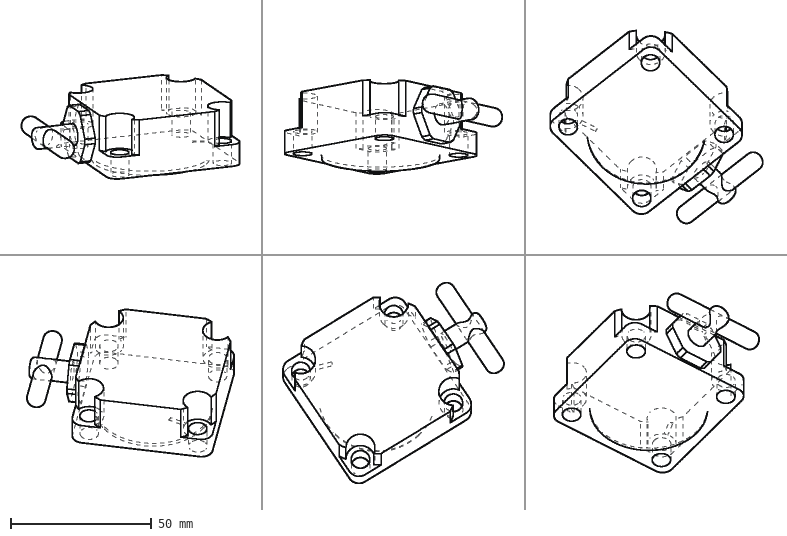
import cadquery as cq

overall_length = 69.85

housing_side = 50.8
housing_height = 21.1
corner_radius = 4.05
ledge_height = 8.1
upper_corner_radius = 29.3
bolt_inset = 5.7
bolt_hole_diameter = 6.6
bolt_clearance_diameter = 10.35

groove_width = 1.5
groove_depth = 0.105
groove_angle = 18.5

boss_height = 1.75
boss_root_diameter = 42.25
boss_draft = 5.0
boss_root_fillet = 0.4
boss_rim_fillet = 0.3

collar_across_flats = 19.2
collar_corner_diameter = 21.1
collar_thickness = 4.0

stem_diameter = 7.75
stem_end_fillet = 1.4

bar_diameter = 6.8
bar_length = 38.2
bar_end_fillet = 2.8
bar_standoff = 14.0

half_side = housing_side / 2
axis_height = housing_height / 2
bolt_offset = half_side - bolt_inset
housing_front = -half_side
collar_front = housing_front - collar_thickness
stem_length = overall_length - housing_side - collar_thickness


def bolt_cylinders(diameter, bottom, top):
    """Four vertical cylinders on the bolt axes."""
    return (
        cq.Workplane("XY", origin=(0, 0, bottom))
        .rect(2 * bolt_offset, 2 * bolt_offset, forConstruction=True)
        .vertices()
        .circle(diameter / 2)
        .extrude(top - bottom)
    )


def make_base():
    """Lower part of the housing, as high as the ledges, with the boss below it."""
    boss = (
        cq.Workplane("XY")
        .circle(boss_root_diameter / 2)
        .extrude(-boss_height, taper=boss_draft)
    )
    return (
        cq.Workplane("XY")
        .rect(housing_side, housing_side)
        .extrude(ledge_height)
        .edges("|Z")
        .fillet(corner_radius)
        .union(boss)
        .edges(cq.selectors.RadiusNthSelector(-1))
        .fillet(boss_root_fillet)
        .faces("<Z")
        .edges()
        .fillet(boss_rim_fillet)
    )


def make_upper_block():
    """Upper part of the housing, cut back around the bolt axes."""
    height = housing_height - ledge_height
    plane = cq.Workplane("XY", origin=(0, 0, ledge_height))
    round_limit = plane.circle(upper_corner_radius).extrude(height)
    return (
        plane.rect(housing_side, housing_side)
        .extrude(height)
        .intersect(round_limit)
        .cut(bolt_cylinders(bolt_clearance_diameter, ledge_height, housing_height))
    )


def make_groove_cutter():
    """Long horizontal cylinder that dips just below the ledge, through one bolt axis."""
    radius = (groove_width**2 / 4 + groove_depth**2) / (2 * groove_depth)
    return (
        cq.Workplane("XZ")
        .center(0, radius - groove_depth)
        .circle(radius)
        .extrude(2 * bolt_inset, both=True)
        .rotate((0, 0, 0), (0, 0, 1), -groove_angle)
        .translate((bolt_offset, bolt_offset, ledge_height))
    )


def make_housing():
    return (
        make_base()
        .cut(make_groove_cutter())
        .union(make_upper_block())
        .cut(bolt_cylinders(bolt_hole_diameter, 0, ledge_height))
    )


def make_collar():
    """Hexagon with flats above and below, cut down to a circle at its corners."""
    plane = cq.Workplane("XZ", origin=(0, housing_front, axis_height))
    round_limit = plane.circle(collar_corner_diameter / 2).extrude(collar_thickness)
    return (
        plane.polygon(6, collar_across_flats, circumscribed=True)
        .extrude(collar_thickness)
        .rotate((0, 0, axis_height), (0, 1, axis_height), 90)
        .intersect(round_limit)
    )


def make_crossbar():
    return (
        cq.Workplane("YZ", origin=(0, housing_front - bar_standoff, axis_height))
        .circle(bar_diameter / 2)
        .extrude(bar_length / 2, both=True)
        .faces("<X or >X")
        .edges()
        .fillet(bar_end_fillet)
    )


def make_stem(crossbar):
    """Round stem with a cross hole that the crossbar fills."""
    return (
        cq.Workplane("XZ", origin=(0, collar_front, axis_height))
        .circle(stem_diameter / 2)
        .extrude(stem_length)
        .faces("<Y")
        .edges()
        .fillet(stem_end_fillet)
        .cut(crossbar)
    )


housing = make_housing()
collar = make_collar()
crossbar = make_crossbar()
stem = make_stem(crossbar)

result = cq.Compound.makeCompound([housing.val(), collar.val(), stem.val(), crossbar.val()])